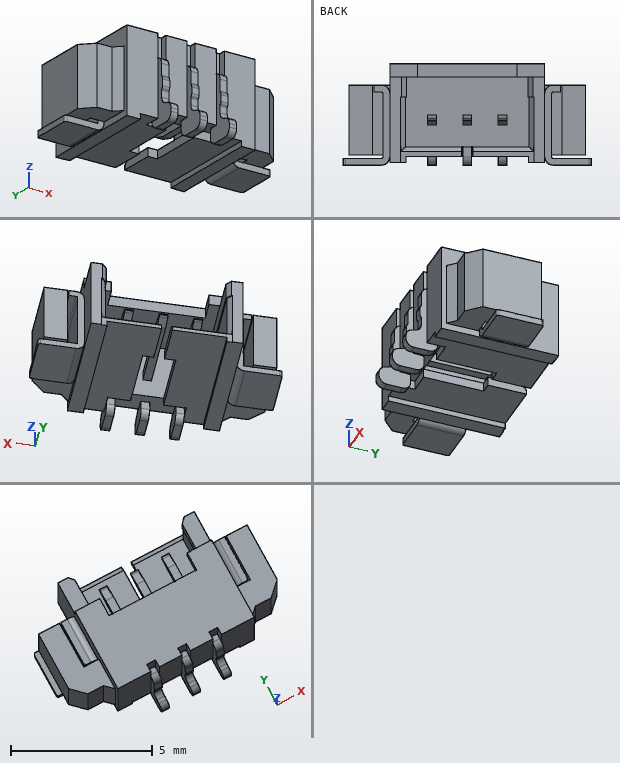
import cadquery as cq
import math


body_width = 5.49
body_depth = 4.5
body_top = 3.6
body_bottom = 0.1
foot_top = 0.31
foot_inner_x = 2.165
step_y = 3.19
step_top = 3.12
half_body = body_width / 2

cavity_half_width = 2.16
cavity_rear_y = 0.7
floor_top = 0.65
lower_cavity_relief = 0.035
relief_top = 2.42
mouth_flare = 0.18
mouth_flare_depth = 0.19
floor_setback = 0.02
roof_notch_half_width = 1.76
roof_notch_y = 2.49

floor_window_half_width = 0.6
floor_window_front_y = 3.0
floor_slot_half_width = 0.19

pin_count = 3
pin_pitch = 1.25
pin_width = 0.31
pin_slot_width = 0.34
pin_slot_depth = 0.29
pin_bend_radius = 0.3
leg_rear_y = -0.21
leg_front_y = 0.405
leg_top = 2.66
toe_y = -0.8
heel_z = 1.06
foot_slope = math.radians(15)
foot_slope_end_y = toe_y + pin_bend_radius * (1 - math.sin(foot_slope))
bump_height = 0.057
bump_middle_z = 1.61
bump_half_flat = 0.13
bump_half_length = 0.29
bump_root_fraction = 1 / 3
blade_height = 0.35
blade_tip_y = 3.89
blade_tip_length = 0.08
blade_taper_length = 0.49
blade_shoulder_height = 0.12
blade_tip_height = 0.05

wing_outer_x = 4.2
wing_bottom = 0.36
wing_top = 2.84
wing_front_y = 3.24
wing_rear_y = 0.49
wing_corner_y = 0.99
wing_corner_x = 3.69
wing_root_x = 3.05
wing_root_y = 0.19

clip_thickness = 0.25
clip_inner_radius = 0.05
clip_outer_radius = clip_inner_radius + clip_thickness
clip_rear_y = 1.45
clip_tab_x = 4.4
clip_flange_x = 3.3
clip_corner_radius = 0.08
clip_clearance = 0.05
clip_end_clearance = 0.03

pin_positions = [(i - (pin_count - 1) / 2) * pin_pitch for i in range(pin_count)]


def block(x_range, y_range, z_range):
    """Box spanning the given (low, high) ranges."""
    spans = (x_range, y_range, z_range)
    sizes = [high - low for low, high in spans]
    corner = tuple(low for low, high in spans)
    return cq.Workplane("XY").box(*sizes, centered=False).translate(corner)


def centred_block(half_width, y_range, z_range):
    """Box symmetric about the YZ plane."""
    return block((-half_width, half_width), y_range, z_range)


def housing_shell():
    """Stepped body on two side feet."""
    shell = centred_block(half_body, (0, body_depth), (body_bottom, body_top))
    step = centred_block(half_body, (step_y, body_depth), (step_top, body_top))
    under_floor = centred_block(foot_inner_x, (0, body_depth), (body_bottom, foot_top))
    return shell.cut(step).cut(under_floor)


def cavity_cutter(half_width, top):
    """Cavity from the floor up to the given height, flaring out at the sides and floor of its mouth."""
    cavity = centred_block(half_width, (cavity_rear_y, body_depth), (floor_top, min(top, step_top)))
    flare_start_y = body_depth - mouth_flare_depth
    height = top - floor_top
    flare = (
        cq.Workplane("XZ", origin=(0, flare_start_y, floor_top + height / 2))
        .rect(2 * half_width, height)
        .workplane(offset=-mouth_flare_depth)
        .rect(2 * (half_width + mouth_flare), height + 2 * mouth_flare)
        .loft(ruled=True)
    )
    below_top = centred_block(half_body, (0, body_depth), (body_bottom, top))
    return cavity.union(flare.intersect(below_top))


def cut_cavity(body):
    """Mating cavity, wider in its lower part, with a set-back floor and a notch in its roof."""
    lower_half_width = cavity_half_width + lower_cavity_relief
    body = body.cut(cavity_cutter(cavity_half_width, body_top))
    body = body.cut(cavity_cutter(lower_half_width, relief_top))
    floor_front = (body_depth - floor_setback, body_depth)
    body = body.cut(centred_block(lower_half_width + mouth_flare, floor_front, (body_bottom, floor_top)))
    return body.cut(centred_block(roof_notch_half_width, (roof_notch_y, step_y), (step_top, body_top)))


def cut_floor_openings(body):
    """Recess under the rear wall, window ahead of it and slot out to the mouth."""
    floor_z = (body_bottom, floor_top)
    recess_half_width = pin_positions[-1] + pin_slot_width / 2
    body = body.cut(centred_block(recess_half_width, (0, cavity_rear_y), floor_z))
    body = body.cut(centred_block(floor_window_half_width, (cavity_rear_y, floor_window_front_y), floor_z))
    return body.cut(centred_block(floor_slot_half_width, (floor_window_front_y, body_depth), floor_z))


def cut_pin_slots(body):
    """Full-height grooves in the rear wall, one for each pin leg."""
    for x in pin_positions:
        sides = (x - pin_slot_width / 2, x + pin_slot_width / 2)
        body = body.cut(block(sides, (0, pin_slot_depth), (body_bottom, body_top)))
    return body


def right_wing():
    """Wing with angled rear corners and a slot for the clip, open at the front."""
    outline = [
        (half_body, wing_front_y),
        (wing_outer_x, wing_front_y),
        (wing_outer_x, wing_corner_y),
        (wing_corner_x, wing_rear_y),
        (wing_root_x, wing_rear_y),
        (half_body, wing_root_y),
    ]
    wing = (
        cq.Workplane("XY", origin=(0, 0, wing_bottom))
        .polyline(outline)
        .close()
        .extrude(wing_top - wing_bottom)
    )
    slot = block(
        (half_body, clip_flange_x + clip_clearance),
        (clip_rear_y - clip_end_clearance, wing_front_y),
        (wing_bottom, wing_top),
    )
    return wing.cut(slot)


def right_clip():
    """C-shaped sheet clip with a short top flange and a long solder tab."""
    web_x = half_body + clip_thickness
    outline = [
        (clip_flange_x, wing_top),
        (half_body, wing_top),
        (half_body, 0),
        (clip_tab_x, 0),
        (clip_tab_x, clip_thickness),
        (web_x, clip_thickness),
        (web_x, wing_top - clip_thickness),
        (clip_flange_x, wing_top - clip_thickness),
    ]
    clip = (
        cq.Workplane("XZ", origin=(0, wing_front_y, 0))
        .polyline(outline)
        .close()
        .extrude(wing_front_y - clip_rear_y)
    )
    clip = clip.faces("<X").edges("|Y").fillet(clip_outer_radius)
    web_middle = (web_x, (clip_rear_y + wing_front_y) / 2, wing_top / 2)
    web_outer_face = clip.faces(cq.selectors.NearestToPointSelector(web_middle))
    clip = web_outer_face.edges("|Y").fillet(clip_inner_radius)
    clip = clip.faces(">X").edges("|Z").fillet(clip_corner_radius)
    flange_corner = cq.selectors.NearestToPointSelector((clip_flange_x, clip_rear_y, wing_top))
    return clip.edges("|Z").edges(flange_corner).chamfer(clip_corner_radius)


def pin_leg_outline():
    """Side profile of the leg and solder foot as a closed YZ wire."""
    radius = pin_bend_radius
    arc_inset = radius * (1 - math.sqrt(0.5))
    bump_top_y = leg_rear_y - bump_height
    bump_root_y = leg_rear_y - bump_height * bump_root_fraction
    flank_length = bump_half_length - bump_half_flat
    bump_root_offset = bump_half_length - flank_length * bump_root_fraction

    heel_end = (
        leg_rear_y - radius * (1 - math.sin(foot_slope)),
        heel_z - radius * math.cos(foot_slope),
    )
    slope_end_z = heel_end[1] - (heel_end[0] - foot_slope_end_y) * math.tan(foot_slope)
    toe_top_z = slope_end_z - radius * math.cos(foot_slope)

    return (
        cq.Workplane("YZ", origin=(-pin_width / 2, 0, 0))
        .moveTo(leg_front_y, leg_top)
        .lineTo(leg_rear_y + radius, leg_top)
        .threePointArc((leg_rear_y + arc_inset, leg_top - arc_inset), (leg_rear_y, leg_top - radius))
        .lineTo(leg_rear_y, bump_middle_z + bump_half_length)
        .tangentArcPoint((bump_root_y, bump_middle_z + bump_root_offset), relative=False)
        .tangentArcPoint((bump_top_y, bump_middle_z + bump_half_flat), relative=False)
        .lineTo(bump_top_y, bump_middle_z - bump_half_flat)
        .tangentArcPoint((bump_root_y, bump_middle_z - bump_root_offset), relative=False)
        .tangentArcPoint((leg_rear_y, bump_middle_z - bump_half_length), relative=False)
        .lineTo(leg_rear_y, heel_z)
        .tangentArcPoint(heel_end, relative=False)
        .lineTo(foot_slope_end_y, slope_end_z)
        .tangentArcPoint((toe_y, toe_top_z), relative=False)
        .lineTo(toe_y, radius)
        .threePointArc((toe_y + arc_inset, arc_inset), (toe_y + radius, 0))
        .lineTo(leg_front_y - radius, 0)
        .threePointArc((leg_front_y - arc_inset, arc_inset), (leg_front_y, radius))
        .close()
    )


def pin_blade():
    """Straight contact blade with a tapered end, reaching from the leg into the cavity."""
    shoulder_y = blade_tip_y - blade_tip_length
    taper_start_y = blade_tip_y - blade_taper_length
    upper_edge = [
        (leg_front_y, blade_height / 2),
        (taper_start_y, blade_height / 2),
        (shoulder_y, blade_shoulder_height / 2),
        (blade_tip_y, blade_tip_height / 2),
    ]
    lower_edge = [(y, -z) for y, z in reversed(upper_edge)]
    return (
        cq.Workplane("YZ", origin=(-pin_width / 2, 0, bump_middle_z))
        .polyline(upper_edge + lower_edge)
        .close()
        .extrude(pin_width)
    )


body = housing_shell()
body = cut_cavity(body)
body = cut_floor_openings(body)
body = cut_pin_slots(body)

pin = pin_leg_outline().extrude(pin_width).union(pin_blade())
for pin_x in pin_positions:
    body = body.union(pin.translate((pin_x, 0, 0)))

right_side = right_wing().union(right_clip())
result = body.union(right_side).union(right_side.mirror("YZ"))